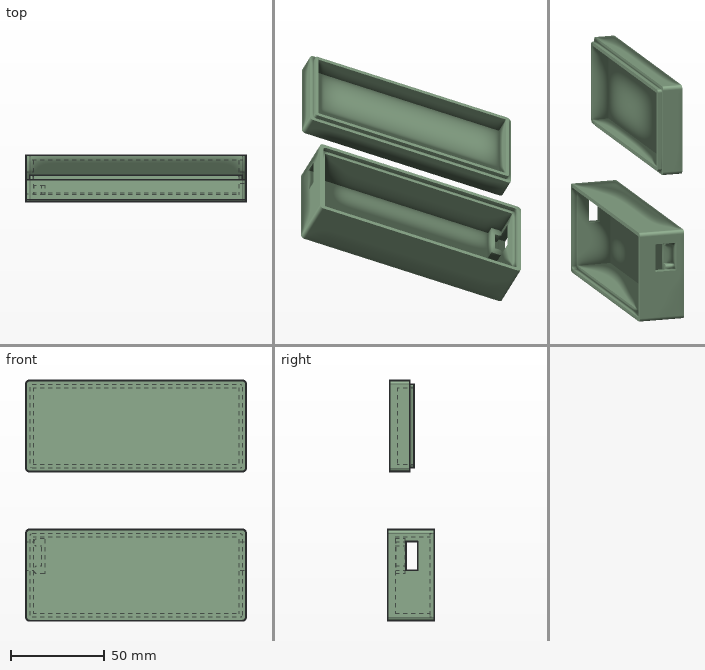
import cadquery as cq

LENGTH = 118.0
TOTAL_HEIGHT = 129.0
SHELL_HEIGHT = 49.0
CORNER_RADIUS = 1.9

HOUSING_DEPTH = 25.0
WALL = 4.0
RIM_WALL = 2.0
RIM_DEPTH = 2.5

COVER_FRONT = 1.0
COVER_DEPTH = 10.8
LIP_DEPTH = 2.3
LIP_INSET = 2.0
LIP_RADIUS = 1.4

PORT_FLOOR = 4.3
PORT_WIDTH = 11.9
PORT_HEIGHT = 15.2
PORT_DROP = 6.6
FAR_SILL = 9.9

HOLDER_TOP = 9.0
HOLDER_GAP = 0.3
HOLDER_ARM_LENGTH = 3.9
HOLDER_ARM_WIDTH = 4.0
HOLDER_WEB = 2.0
HOLDER_SLOT = 10.7
HOLDER_ROUND = 1.4

PORT_Z = SHELL_HEIGHT - PORT_DROP - PORT_HEIGHT
PORT_TOP = PORT_FLOOR + PORT_WIDTH


def block(x_size, y_size, z_size, y_start, z_start):
    """Box centred on X, starting at the given Y and Z."""
    return cq.Workplane("XY").box(x_size, y_size, z_size, centered=(True, False, False)).translate(
        (0, y_start, z_start)
    )


def rounded_slab(inset, depth, radius, y_start, z_start):
    """Shell outline shrunk by an inset, with round corners about Y."""
    slab = block(LENGTH - 2 * inset, depth, SHELL_HEIGHT - 2 * inset, y_start, z_start + inset)
    return slab.edges("|Y").fillet(radius)


def end_port(side, sill):
    """Cutter for the port in one end wall: side is -1 for -X and +1 for +X."""
    cutter = block(WALL, PORT_TOP - sill, PORT_HEIGHT, sill, PORT_Z)
    return cutter.translate((side * (LENGTH - WALL) / 2, 0, 0))


def make_holder():
    """U open toward -X, with the free end of each arm rounded."""
    length = HOLDER_ARM_LENGTH + HOLDER_WEB
    depth = HOLDER_TOP - WALL
    height = HOLDER_SLOT + 2 * HOLDER_ARM_WIDTH
    holder = cq.Workplane("XY").box(length, depth, height)
    slot = cq.Workplane("XY").box(length, depth, HOLDER_SLOT).translate((-HOLDER_WEB, 0, 0))
    holder = holder.cut(slot).faces("<X").edges("|Y").fillet(HOLDER_ROUND)
    x_center = -LENGTH / 2 + WALL + HOLDER_GAP + length / 2
    return holder.translate((x_center, WALL + depth / 2, PORT_Z + PORT_HEIGHT / 2))


def make_housing():
    body = rounded_slab(0, HOUSING_DEPTH, CORNER_RADIUS, 0, 0)
    body = body.cut(block(LENGTH - 2 * WALL, HOUSING_DEPTH, SHELL_HEIGHT - 2 * WALL, WALL, WALL))
    body = body.cut(rounded_slab(RIM_WALL, RIM_DEPTH, LIP_RADIUS, HOUSING_DEPTH - RIM_DEPTH, 0))
    body = body.cut(end_port(-1, PORT_FLOOR)).cut(end_port(1, FAR_SILL))
    return body.union(make_holder())


def make_cover():
    z0 = TOTAL_HEIGHT - SHELL_HEIGHT
    body = rounded_slab(0, COVER_DEPTH, CORNER_RADIUS, COVER_FRONT, z0)
    body = body.union(rounded_slab(LIP_INSET, LIP_DEPTH, LIP_RADIUS, COVER_FRONT + COVER_DEPTH, z0))
    cavity = block(LENGTH - 2 * WALL, HOUSING_DEPTH, SHELL_HEIGHT - 2 * WALL, COVER_FRONT + WALL, z0 + WALL)
    return body.cut(cavity)


housing = make_housing()
cover = make_cover()
result = cq.Compound.makeCompound([housing.val(), cover.val()])